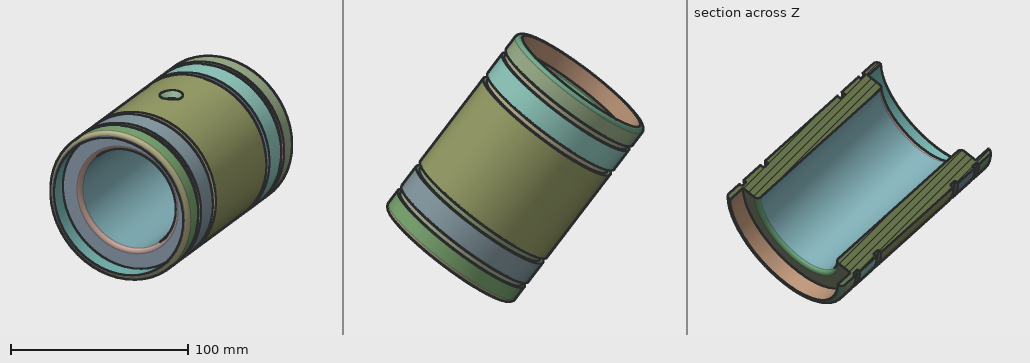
import cadquery as cq

length = 124.68
outer_radius = 45.0
bore_radius = 30.0
edge_radius = 2.5

recess_radius = 41.5
recess_depth = 10.5

end_groove = (11.4, 3.4, 1.8)
inner_groove = (28.8, 3.6, 2.4)

hole_radius = 3.25
hole_mouth_chamfer = 3.4

end = length / 2
recess_floor = end - recess_depth


def ring(inner, outer, y_start, y_end):
    """Ring around the Y axis between two radii and two stations."""
    plane = cq.Plane(origin=(0, y_start, 0), xDir=(1, 0, 0), normal=(0, 1, 0))
    return cq.Workplane(plane).circle(outer).circle(inner).extrude(y_end - y_start)


def make_sleeve():
    """Tube with a recess in each end and rounded outer and bore rims."""
    wall = ring(recess_radius, outer_radius, -end, end)
    for face in ("<Y", ">Y"):
        wall = wall.faces(face).edges(cq.selectors.RadiusNthSelector(-1)).fillet(edge_radius)
    core = ring(bore_radius, recess_radius, -recess_floor, recess_floor)
    for face in ("<Y", ">Y"):
        core = core.faces(face).edges(cq.selectors.RadiusNthSelector(0)).fillet(edge_radius)
    return wall.union(core)


def cut_hole(body):
    """Radial hole from the bore up through the top of the sleeve."""
    drill = cq.Workplane("XY").circle(hole_radius).extrude(2 * outer_radius)
    mouth = cq.selectors.BoxSelector(
        (-hole_radius, -hole_radius, outer_radius - hole_radius),
        (hole_radius, hole_radius, outer_radius + hole_radius),
    )
    return body.cut(drill).edges(mouth).chamfer(hole_mouth_chamfer)


def cut_groove(body, end_distance, width, depth):
    """Pair of square ring grooves, one near each end."""
    outside_edge = end - end_distance
    inside_edge = outside_edge - width
    floor_radius = outer_radius - depth
    clear_radius = outer_radius + depth
    body = body.cut(ring(floor_radius, clear_radius, inside_edge, outside_edge))
    return body.cut(ring(floor_radius, clear_radius, -outside_edge, -inside_edge))


result = cut_hole(make_sleeve())
for groove in (end_groove, inner_groove):
    result = cut_groove(result, *groove)